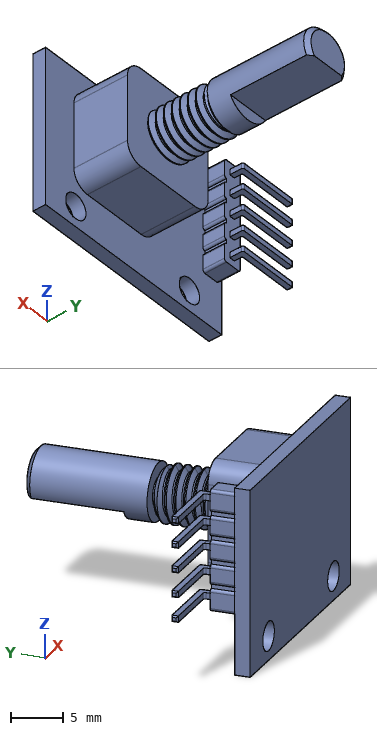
import cadquery as cq
import math

OVERALL_X = 31.71
OVERALL_Y = 28.33

BOARD_X = 26.2
BOARD_Z = 19.25
BOARD_THICKNESS = 1.6
HOLE_DIAMETER = 3.0
HOLE_X_POSITIONS = (4.8, 21.7)
HOLE_Z = 2.5

AXIS_X = 15.98
AXIS_Z = 11.0
HOUSING_SIDE = 12.0
HOUSING_HEIGHT = 6.7
HOUSING_CORNER_RADIUS = 2.0
HOUSING_END_Y = BOARD_THICKNESS + HOUSING_HEIGHT

BUSHING_LENGTH = 7.0
BUSHING_RADIUS = 3.0
BUSHING_END_Y = HOUSING_END_Y + BUSHING_LENGTH
THREAD_PITCH = 1.0
THREAD_HALF_ANGLE = math.radians(30)
THREAD_HEIGHT = THREAD_PITCH / (2 * math.tan(THREAD_HALF_ANGLE)) * 17 / 24
CREST_WIDTH = THREAD_PITCH / 8
ROOT_WIDTH = THREAD_PITCH - CREST_WIDTH - 2 * THREAD_HEIGHT * math.tan(THREAD_HALF_ANGLE)
ROOT_RADIUS = BUSHING_RADIUS - THREAD_HEIGHT
GROOVE_OVERRUN = 0.05
ROOT_Y_ABOVE_AXIS = 14.57

NECK_RADIUS = 1.57
NECK_LENGTH = 0.45
SHAFT_RADIUS = 3.0
SHAFT_CHAMFER = 0.5
SHAFT_START_Y = BUSHING_END_Y + NECK_LENGTH
FLAT_LENGTH = 10.0
FLAT_OFFSET = 1.5

PIN_COUNT = 5
PIN_PITCH = 2.54
HEADER_CENTER_X = 1.63
HEADER_CENTER_Z = 12.25
HEADER_WIDTH = 2.35
HEADER_HEIGHT = 2.7
HEADER_END_Y = BOARD_THICKNESS + HEADER_HEIGHT
UNIT_PITCH = 2.5
HEADER_LENGTH = PIN_COUNT * UNIT_PITCH
HEADER_EDGE_RADIUS = 0.3
NOTCH_FLOOR = 0.45
NOTCH_DEPTH = HEADER_EDGE_RADIUS

PIN_SIZE = 0.66
PIN_TOP_Y = 5.95
PIN_RIGHT_X = 2.0
PIN_TIP_X = BOARD_X - OVERALL_X
PIN_TIP_LENGTH = 0.2
PIN_TIP_INSET = 0.15
BEND_INNER_RADIUS = 0.2
BEND_OUTER_RADIUS = 0.2


def cylinder(radius, start_y, end_y):
    """Cylinder about the encoder axis."""
    base = cq.Workplane("XZ", origin=(AXIS_X, start_y, AXIS_Z))
    return base.circle(radius).extrude(start_y - end_y)


def block(x_range, y_range, z_range):
    """Box between the given coordinate limits."""
    corners = zip(x_range, y_range, z_range)
    low, high = (cq.Vector(*corner) for corner in corners)
    size = high - low
    return cq.Workplane().box(size.x, size.y, size.z, centered=False).translate(low)


def centered_range(center, size):
    return (center - size / 2, center + size / 2)


def row_position(index, pitch):
    """Z of one place in a row centered on the pin header."""
    return HEADER_CENTER_Z + (index - (PIN_COUNT - 1) / 2) * pitch


def make_board():
    board = block((0, BOARD_X), (0, BOARD_THICKNESS), (0, BOARD_Z))
    holes = cq.Workplane("XZ").pushPoints([(x, HOLE_Z) for x in HOLE_X_POSITIONS])
    return board.cut(holes.circle(HOLE_DIAMETER / 2).extrude(-BOARD_THICKNESS))


def make_housing():
    housing = block(
        centered_range(AXIS_X, HOUSING_SIDE),
        (BOARD_THICKNESS, HOUSING_END_Y),
        centered_range(AXIS_Z, HOUSING_SIDE),
    )
    return housing.edges("|Y").fillet(HOUSING_CORNER_RADIUS)


def make_groove_turn():
    """One turn of the right-handed V groove, starting on the +Z side of the axis."""
    half_root = ROOT_WIDTH / 2
    half_mouth = half_root + (THREAD_HEIGHT + GROOVE_OVERRUN) * math.tan(THREAD_HALF_ANGLE)
    mouth_radius = BUSHING_RADIUS + GROOVE_OVERRUN
    corners = [
        (ROOT_RADIUS, -half_root),
        (mouth_radius, -half_mouth),
        (mouth_radius, half_mouth),
        (ROOT_RADIUS, half_root),
    ]
    rails = [
        cq.Wire.makeHelix(THREAD_PITCH, THREAD_PITCH, radius, cq.Vector(0, 0, height))
        for radius, height in corners
    ]
    sides = [cq.Face.makeRuledSurface(rails[i - 1], rails[i]) for i in range(len(rails))]
    start_points = [cq.Vector(radius, 0, height) for radius, height in corners]
    start = cq.Face.makeFromWires(cq.Wire.makePolygon(start_points, close=True))
    end = start.translate(cq.Vector(0, 0, THREAD_PITCH))
    turn = cq.Workplane(cq.Solid.makeSolid(cq.Shell.makeShell(sides + [start, end])))
    turn = turn.rotate((0, 0, 0), (1, 0, 0), -90).rotate((0, 0, 0), (0, 1, 0), -90)
    return turn.translate((AXIS_X, 0, AXIS_Z))


def make_bushing():
    bushing = cylinder(BUSHING_RADIUS, HOUSING_END_Y, BUSHING_END_Y)
    bushing = bushing.faces(">Y").chamfer(THREAD_HEIGHT)
    turn = make_groove_turn()
    turns_below = math.ceil((ROOT_Y_ABOVE_AXIS - HOUSING_END_Y) / THREAD_PITCH) + 1
    turns_above = math.ceil((BUSHING_END_Y - ROOT_Y_ABOVE_AXIS) / THREAD_PITCH) + 1
    for index in range(-turns_below, turns_above):
        bushing = bushing.cut(turn.translate((0, ROOT_Y_ABOVE_AXIS + index * THREAD_PITCH, 0)))
    return bushing


def make_shaft():
    neck = cylinder(NECK_RADIUS, BUSHING_END_Y, SHAFT_START_Y)
    shaft = cylinder(SHAFT_RADIUS, SHAFT_START_Y, OVERALL_Y)
    shaft = shaft.faces(">Y").chamfer(SHAFT_CHAMFER)
    below_flat = block(
        centered_range(AXIS_X, 2 * SHAFT_RADIUS),
        (OVERALL_Y - FLAT_LENGTH, OVERALL_Y),
        (AXIS_Z - SHAFT_RADIUS, AXIS_Z - FLAT_OFFSET),
    )
    return neck.union(shaft.cut(below_flat))


def make_header():
    """Pin header body: rounded units joined by a narrower spine."""
    y_range = (BOARD_THICKNESS, HEADER_END_Y)
    unit_length = UNIT_PITCH - NOTCH_FLOOR
    end_extra = NOTCH_FLOOR / 2
    header = block(
        centered_range(HEADER_CENTER_X, HEADER_WIDTH - 2 * NOTCH_DEPTH),
        y_range,
        centered_range(HEADER_CENTER_Z, HEADER_LENGTH - 2 * HEADER_EDGE_RADIUS),
    )
    for index in range(PIN_COUNT):
        low_z, high_z = centered_range(row_position(index, UNIT_PITCH), unit_length)
        if index == 0:
            low_z -= end_extra
        if index == PIN_COUNT - 1:
            high_z += end_extra
        unit = block(centered_range(HEADER_CENTER_X, HEADER_WIDTH), y_range, (low_z, high_z))
        header = header.union(unit.edges("|Y").fillet(HEADER_EDGE_RADIUS))
    return header


def make_pin(center_z):
    """Right-angle pin rising from the header and pointing toward -X."""
    inner_x = PIN_RIGHT_X - PIN_SIZE
    under_y = PIN_TOP_Y - PIN_SIZE
    z_range = centered_range(center_z, PIN_SIZE)
    shank_start_x = PIN_TIP_X + PIN_TIP_LENGTH
    outline = cq.Workplane("XY", origin=(0, 0, z_range[0])).polyline([
        (shank_start_x, under_y),
        (inner_x, under_y),
        (inner_x, HEADER_END_Y),
        (PIN_RIGHT_X, HEADER_END_Y),
        (PIN_RIGHT_X, PIN_TOP_Y),
        (shank_start_x, PIN_TOP_Y),
    ]).close()
    pin = outline.extrude(PIN_SIZE)
    pin = pin.edges(cq.selectors.NearestToPointSelector((inner_x, under_y, center_z)))
    pin = pin.fillet(BEND_INNER_RADIUS)
    pin = pin.edges(cq.selectors.NearestToPointSelector((PIN_RIGHT_X, PIN_TOP_Y, center_z)))
    pin = pin.fillet(BEND_OUTER_RADIUS)
    taper_end = PIN_SIZE - 2 * PIN_TIP_INSET
    tip = (
        cq.Workplane("YZ", origin=(PIN_TIP_X, PIN_TOP_Y - PIN_SIZE / 2, center_z))
        .rect(taper_end, taper_end)
        .workplane(offset=PIN_TIP_LENGTH)
        .rect(PIN_SIZE, PIN_SIZE)
        .loft(ruled=True)
    )
    return pin.union(tip)


result = (
    make_board()
    .union(make_housing())
    .union(make_bushing())
    .union(make_shaft())
    .union(make_header())
)
for pin_index in range(PIN_COUNT):
    result = result.union(make_pin(row_position(pin_index, PIN_PITCH)))